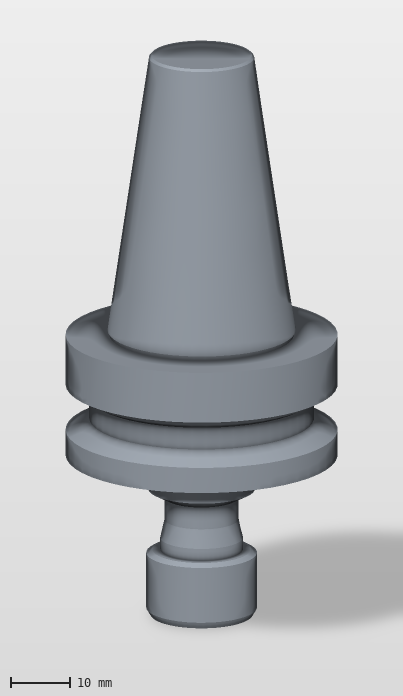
import cadquery as cq

overall_length = 98.4

taper_length = 48.4
gauge_diameter = 31.8
taper_ratio = 7 / 24
tip_chamfer = 0.4
relief_diameter = 31.2

flange_diameter = 46.0
flange_top = -0.8
flange_bottom = -21.9
groove_diameter = 38.0
groove_top = -9.5
groove_bottom = -17.5
groove_flank_height = 2.1

spindle_diameter = 18.0
spindle_bottom = -27.9
neck_diameter = 12.5
neck_top = -29.4
neck_bottom = -33.3
seat_diameter = 14.0
seat_top = -36.5

collar_diameter = 18.7
collar_height = 11.4
collar_bottom = taper_length - overall_length
collar_top = collar_bottom + collar_height
collar_top_chamfer_width = 1.0
collar_top_chamfer_height = 0.6
collar_bottom_chamfer_width = 0.7
collar_bottom_chamfer_height = 1.2


def revolve_sections(sections):
    """Revolve (diameter, height) sections, listed top to bottom, around Z."""
    profile = [(diameter / 2, height) for diameter, height in sections]
    top_centre = (0, profile[0][1])
    bottom_centre = (0, profile[-1][1])
    outline = [top_centre] + profile + [bottom_centre]
    return cq.Workplane("XZ").polyline(outline).close().revolve(360, (0, 0), (0, 1))


def taper_diameter(height):
    return gauge_diameter - taper_ratio * height


chamfer_start = taper_length - tip_chamfer
tip_diameter = taper_diameter(chamfer_start)
taper = revolve_sections([
    (tip_diameter - 2 * tip_chamfer, taper_length),
    (tip_diameter, chamfer_start),
    (gauge_diameter, 0),
    (relief_diameter, 0),
    (relief_diameter, flange_top),
])

flange = revolve_sections([
    (flange_diameter, flange_top),
    (flange_diameter, groove_top),
    (groove_diameter, groove_top - groove_flank_height),
    (groove_diameter, groove_bottom + groove_flank_height),
    (flange_diameter, groove_bottom),
    (flange_diameter, flange_bottom),
])

spindle = revolve_sections([
    (spindle_diameter, flange_bottom),
    (spindle_diameter, spindle_bottom),
    (neck_diameter, neck_top),
    (neck_diameter, neck_bottom),
    (seat_diameter, seat_top),
    (seat_diameter, collar_top),
])

collar = revolve_sections([
    (collar_diameter - 2 * collar_top_chamfer_width, collar_top),
    (collar_diameter, collar_top - collar_top_chamfer_height),
    (collar_diameter, collar_bottom + collar_bottom_chamfer_height),
    (collar_diameter - 2 * collar_bottom_chamfer_width, collar_bottom),
])

result = taper.union(flange).union(spindle).union(collar)